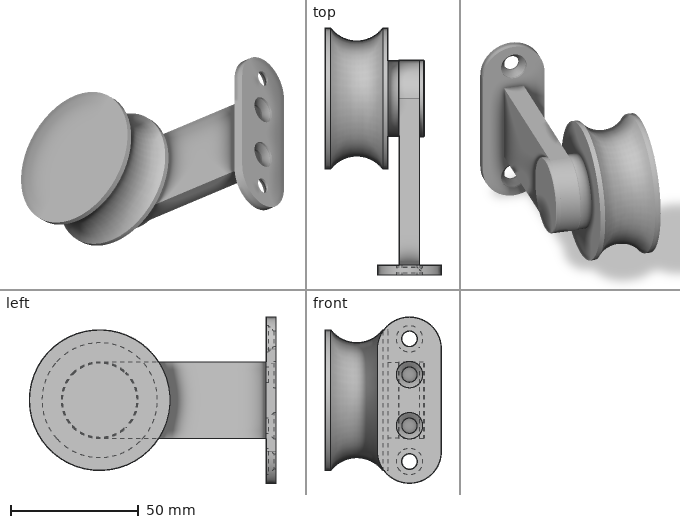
import cadquery as cq

plate_length = 65.0
plate_width = 25.0
plate_thickness = 4.0
front_y = -48.25
plate_x = 10.2
plate_back_y = front_y + plate_thickness
hole_diameter = 6.0
outer_hole_spacing = 48.0
inner_hole_spacing = 20.0
countersink_diameter = 10.3
countersink_lip = 0.9

arm_thickness = 8.0
arm_width = 30.0

wheel_diameter = 55.0
wheel_radius = wheel_diameter / 2
wheel_left_x = -22.8
wheel_width = 24.5
outer_rim_width = 2.2
inner_rim_width = 1.9
groove_depth = 5.0
wheel_right_x = wheel_left_x + wheel_width
axle_y = 96.5 + front_y - wheel_radius

spacer_diameter = 29.6
cap_diameter = arm_width
collar_chamfer = 0.3
cap_thickness = 1.8
arm_left_x = plate_x - arm_thickness / 2
arm_right_x = plate_x + arm_thickness / 2
spacer_thickness = arm_left_x - wheel_right_x


def axle_plane(x):
    """Plane across the wheel axis at x, with its normal along +X."""
    return cq.Workplane("YZ", origin=(x, axle_y, 0))


def make_wheel():
    """Wheel with a concave groove between its two rims."""
    groove_left_x = wheel_left_x + outer_rim_width
    groove_right_x = wheel_right_x - inner_rim_width
    groove_x = (groove_left_x + groove_right_x) / 2
    profile = (
        cq.Workplane("XY", origin=(0, axle_y, 0))
        .moveTo(wheel_left_x, 0)
        .lineTo(wheel_left_x, wheel_radius)
        .lineTo(groove_left_x, wheel_radius)
        .threePointArc((groove_x, wheel_radius - groove_depth), (groove_right_x, wheel_radius))
        .lineTo(wheel_right_x, wheel_radius)
        .lineTo(wheel_right_x, 0)
        .close()
    )
    return profile.revolve(360, (0, 0, 0), (1, 0, 0))


def make_collar(left_x, diameter, thickness):
    """Disc on the wheel axis with a chamfered right-hand edge."""
    disc = axle_plane(left_x).circle(diameter / 2).extrude(thickness)
    return disc.faces(">X").edges().chamfer(collar_chamfer)


def make_arm():
    """Flat bar with its rear end rounded about the wheel axis."""
    bar_length = axle_y - plate_back_y
    bar = axle_plane(arm_left_x).center(-bar_length / 2, 0).rect(bar_length, arm_width).extrude(arm_thickness)
    rounded_end = axle_plane(arm_left_x).circle(arm_width / 2).extrude(arm_thickness)
    return bar.union(rounded_end)


def countersunk_cutter(z, head_y, inward):
    """Stepped hole tool: short wide lip at head_y, 45 degree cone, then a plain bore."""
    hole_radius = hole_diameter / 2
    head_radius = countersink_diameter / 2
    lip_y = inward * countersink_lip
    cone_end_y = lip_y + inward * (head_radius - hole_radius)
    far_y = inward * plate_thickness
    profile = (
        cq.Workplane("XY", origin=(plate_x, head_y, z))
        .polyline([
            (0, 0),
            (head_radius, 0),
            (head_radius, lip_y),
            (hole_radius, cone_end_y),
            (hole_radius, far_y),
            (0, far_y),
        ])
        .close()
    )
    return profile.revolve(360, (0, 0, 0), (0, 1, 0))


def make_plate():
    """Round-ended plate: inner holes countersunk from the front, outer holes from the back."""
    plate = (
        cq.Workplane("XZ", origin=(plate_x, plate_back_y, 0))
        .slot2D(plate_length, plate_width, 90)
        .extrude(plate_thickness)
    )
    for side in (-1, 1):
        plate = plate.cut(countersunk_cutter(side * inner_hole_spacing / 2, front_y, 1))
        plate = plate.cut(countersunk_cutter(side * outer_hole_spacing / 2, plate_back_y, -1))
    return plate


wheel = make_wheel()
spacer = make_collar(wheel_right_x, spacer_diameter, spacer_thickness)
arm = make_arm()
cap = make_collar(arm_right_x, cap_diameter, cap_thickness)
plate = make_plate()

result = cq.Compound.makeCompound([wheel.val(), spacer.val(), arm.val(), cap.val(), plate.val()])